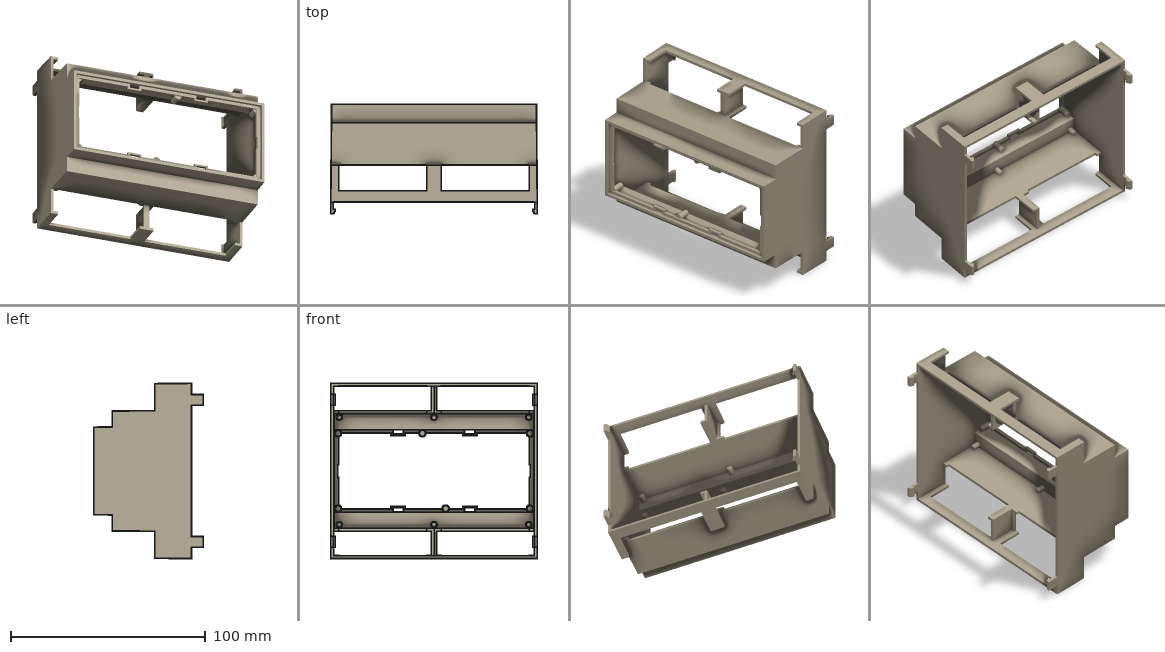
import cadquery as cq
import math

width = 106.4
wall = 1.5
draft_angle = 0.5
draft = math.tan(math.radians(draft_angle))

rim_half_height = 45.1
mid_front = 19.0
mid_half_height = 31.1
back_front = 40.9
back_half_height = 22.7
body_depth = 50.4

window_front = 5.9
window_outer_x = 48.9
window_inner_x = 3.8

rib_front = 4.5
rib_half_width = 1.5

lip_front = 47.2
lip_back = 48.8
opening_half_width = 48.9
opening_half_height = 19.5
side_notch_half_width = 49.4
side_notch_half_height = 3.3

latch_center_x = 18.4
latch_width = 7.5
latch_height = 1.4
latch_slot_width = 5.3
latch_slot_edge_z = 19.0
latch_slot_front = 41.4

post_taper = 0.2
short_post_radius = 1.6
short_post_tip_y = 35.4
short_post_x = 48.7
short_post_z = 27.7
long_post_radius = 1.8
long_post_tip_y = 41.6
long_post_x = 49.4
long_post_middle_x = 6.0
long_post_z = 19.4

hook_length = 6.1
hook_catch = 1.1
hook_catch_start = 3.6
hook_catch_end = 4.3
hook_center_z = 36.5
hook_width = 5.6

overlap = 0.2


def half_width_at(y):
    """Half of the outer width at depth y; it is widest at the hook tips."""
    return width / 2 - (y + hook_length) * draft


def box(x_range, y_range, z_range):
    """Axis-aligned block between three pairs of limits."""
    (x0, x1), (y0, y1), (z0, z1) = x_range, y_range, z_range
    return cq.Workplane("XY").box(x1 - x0, y1 - y0, z1 - z0, centered=False).translate((x0, y0, z0))


def both_sides(shape, plane):
    """The shape together with its mirror image."""
    return shape.union(shape.mirror(plane))


def tier(y_front, y_back, half_height, inset=0.0):
    """One drafted block of the stepped body, optionally inset on its four sides."""
    plane = cq.Plane(origin=(0, y_front, 0), xDir=(1, 0, 0), normal=(0, 1, 0))
    outline = cq.Workplane(plane).rect(2 * (half_width_at(y_front) - inset), 2 * (half_height - inset))
    return outline.extrude(y_back - y_front, taper=draft_angle)


def make_shell():
    """Stepped thin-walled body with the back panel across it."""
    outer = tier(0, mid_front, rim_half_height)
    outer = outer.union(tier(mid_front, back_front, mid_half_height))
    outer = outer.union(tier(back_front, body_depth, back_half_height))
    cavity = tier(0, mid_front - wall, rim_half_height, wall)
    cavity = cavity.union(tier(mid_front - wall, back_front - wall, mid_half_height, wall))
    cavity = cavity.union(tier(back_front - wall, body_depth, back_half_height, wall))
    panel = tier(lip_front, lip_back, back_half_height - overlap, overlap)
    return outer.cut(cavity).union(panel)


def make_rim_openings():
    """Two windows in each rim panel, and the removed step between rim and middle tier."""
    window = box(
        (window_inner_x, window_outer_x),
        (window_front, mid_front),
        (mid_half_height - wall - overlap, rim_half_height + overlap),
    )
    step_half_width = half_width_at(mid_front) - wall
    step = box(
        (-step_half_width, step_half_width),
        (mid_front - wall, mid_front),
        (mid_half_height, rim_half_height - wall - mid_front * draft),
    )
    return both_sides(both_sides(window, "YZ").union(step), "XY")


def make_ribs():
    """Plate with a back wall and a flange level with the middle-tier panel."""
    z_range = (mid_half_height - wall, rim_half_height - wall)
    plate = box((-rib_half_width, 0), (rib_front, mid_front), z_range)
    back = box((-rib_half_width, rib_half_width), (mid_front - wall, mid_front), z_range)
    flange = box(
        (-window_inner_x, 0),
        (rib_front, mid_front),
        (mid_half_height - wall, mid_half_height),
    )
    return both_sides(plate.union(back).union(flange), "XY")


def make_back_opening():
    """Rectangular opening, slightly wider at the middle of its short edges."""
    y_range = (lip_front - overlap, lip_back + overlap)
    main = box(
        (-opening_half_width, opening_half_width),
        y_range,
        (-opening_half_height, opening_half_height),
    )
    notch = box(
        (-side_notch_half_width, side_notch_half_width),
        y_range,
        (-side_notch_half_height, side_notch_half_height),
    )
    return main.union(notch)


def latch_blocks(x_width, y_range, z_range):
    """Four equal blocks at the latch positions."""
    block = box(
        (latch_center_x - x_width / 2, latch_center_x + x_width / 2),
        y_range,
        z_range,
    )
    return both_sides(both_sides(block, "YZ"), "XY")


def post(x, z, radius, tip_y, base_y):
    """Tapered pin along Y, thicker at its base."""
    pin = cq.Solid.makeCone(
        radius, radius - post_taper, base_y - tip_y, pnt=cq.Vector(x, base_y, z), dir=cq.Vector(0, -1, 0)
    )
    return cq.Workplane(pin)


def make_posts():
    """Short posts on the middle-tier step and long posts on the back panel."""
    posts = []
    for side in (-1, 1):
        base = back_front - wall / 2
        for x in (-short_post_x, 0, short_post_x):
            posts.append(post(x, side * short_post_z, short_post_radius, short_post_tip_y, base))
        base = (lip_front + lip_back) / 2
        for x in (-long_post_x, -side * long_post_middle_x, long_post_x):
            posts.append(post(x, side * long_post_z, long_post_radius, long_post_tip_y, base))
    return posts


def make_hooks():
    """Four snap hooks continuing the side walls past the open rim."""
    inner_x = width / 2 - wall
    profile = [
        (half_width_at(0), 0),
        (width / 2, -hook_length),
        (inner_x, -hook_length),
        (inner_x - hook_catch, -hook_catch_end),
        (inner_x - hook_catch, -hook_catch_start),
        (inner_x, -hook_catch_start),
        (inner_x, 0),
    ]
    hook = cq.Workplane("XY", origin=(0, 0, hook_center_z - hook_width / 2))
    hook = hook.polyline(profile).close().extrude(hook_width)
    return both_sides(both_sides(hook, "YZ"), "XY")


def make_latches():
    """Tabs reaching into the back opening."""
    return latch_blocks(
        latch_width,
        (lip_front, lip_back),
        (opening_half_height - latch_height, opening_half_height),
    )


def make_latch_slots():
    """Slots through the back panel, running forward along the back-tier panels."""
    return latch_blocks(
        latch_slot_width,
        (latch_slot_front, lip_back + overlap),
        (latch_slot_edge_z, back_half_height - wall),
    )


result = make_shell().cut(make_rim_openings()).union(make_ribs())
result = result.cut(make_back_opening()).union(make_latches()).cut(make_latch_slots())
for pin in make_posts():
    result = result.union(pin)
result = result.union(make_hooks())